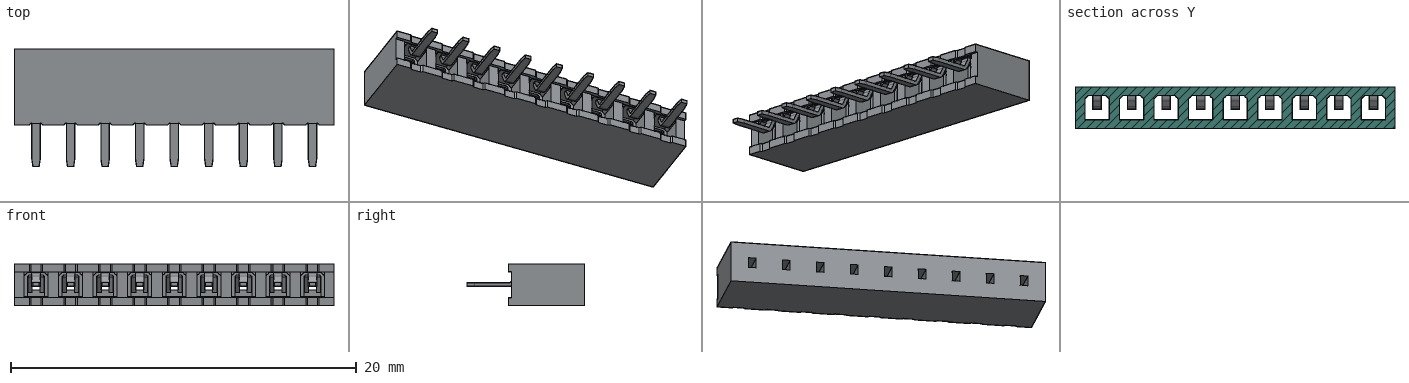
import cadquery as cq
import math


length = 18.5
height = 2.4
overall_depth = 6.8
body_depth = 4.4
rail_height = 0.46
rail_depth = 0.17
pin_count = 9
pitch = 2.0

notch_width = 0.78
notch_depth = 0.1

mouth_height = height - 2 * rail_height
mouth_depth = 0.05
pocket_width = 1.39
pocket_height = 1.39
pocket_depth = 1.11
pocket_chamfer = 0.18
recess_width = 0.98
recess_height = 1.25
recess_depth = 0.18
recess_chamfer = 0.1

slot_width = 0.45
slot_height = 0.6
wing_span = 0.92
wing_height = 0.89
wing_angle = 70.0

pin_width = 0.5
pin_thickness = 0.22
pin_middle_z = 0.02
tip_width = 0.37
tip_length = 0.45
bend_clearance = 0.1
bend_slope = 61.0
lower_bend_radius = 0.18
upper_bend_radius = 0.45
slope_length = 0.39
roof_overlap = 0.18

pocket_front = rail_depth + mouth_depth
recess_front = pocket_front + pocket_depth
wing_front = recess_front + recess_depth
wing_depth = (wing_span - slot_width) / 2 * math.tan(math.radians(wing_angle))
pin_tip_y = body_depth - overall_depth
pin_bend_y = rail_depth - bend_clearance


def block(width, y_start, y_end, z_bottom, z_top):
    """Box centred on X = 0 between the given Y and Z limits."""
    size_y = y_end - y_start
    size_z = z_top - z_bottom
    box = cq.Workplane("XY").box(width, size_y, size_z, centered=(True, False, False))
    return box.translate((0, y_start, z_bottom))


def housing_blank():
    body = block(length, 0, body_depth, -height / 2, height / 2)
    return body.cut(block(length, 0, rail_depth, -mouth_height / 2, mouth_height / 2))


def rail_notch():
    """Shallow notch across both rails, narrowing by its own depth on each side."""
    half_mouth = notch_width / 2
    half_floor = half_mouth - notch_depth
    outline = [
        (-half_mouth, 0),
        (half_mouth, 0),
        (half_floor, notch_depth),
        (-half_floor, notch_depth),
    ]
    return cq.Workplane("XY").polyline(outline).close().extrude(height / 2, both=True)


def pocket():
    """Plain mouth, then a pocket and a recess with chamfered upper corners."""
    mouth = block(pocket_width, rail_depth, pocket_front, -mouth_height / 2, mouth_height / 2)
    floor_z = -pocket_height / 2
    outer = block(pocket_width, pocket_front, recess_front, floor_z, floor_z + pocket_height)
    outer = outer.edges("|Y and >Z").chamfer(pocket_chamfer)
    inner = block(recess_width, recess_front, wing_front, floor_z, floor_z + recess_height)
    inner = inner.edges("|Y and >Z").chamfer(recess_chamfer)
    return mouth.union(outer).union(inner)


def mating_slot():
    """Slot through to the +Y face, with a tapered wing on each side at its inner end."""
    slot = block(slot_width, wing_front, body_depth, -slot_height / 2, slot_height / 2)
    for side in (-1, 1):
        outline = [
            (side * slot_width / 2, wing_front),
            (side * wing_span / 2, wing_front),
            (side * slot_width / 2, wing_front + wing_depth),
        ]
        wing = cq.Workplane("XY").polyline(outline).close().extrude(wing_height / 2, both=True)
        slot = slot.union(wing)
    return slot


def along(point, angle, distance):
    """Point reached from a (Y, Z) point by moving in a direction given in degrees."""
    direction = math.radians(angle)
    return (point[0] + distance * math.cos(direction), point[1] + distance * math.sin(direction))


def bend_points(start, start_angle, end_angle, radius):
    """Middle and end of an upward bend that starts at a (Y, Z) point."""
    centre = along(start, start_angle + 90, radius)
    middle = along(centre, (start_angle + end_angle) / 2 - 90, radius)
    end = along(centre, end_angle - 90, radius)
    return middle, end


def contact_pin():
    tip = (pin_tip_y, pin_middle_z)
    lower_start = (pin_bend_y, pin_middle_z)
    lower_middle, lower_end = bend_points(lower_start, 0, bend_slope, lower_bend_radius)
    upper_start = along(lower_end, bend_slope, slope_length)
    upper_middle, upper_end = bend_points(upper_start, bend_slope, 90, upper_bend_radius)
    path = (
        cq.Workplane("YZ")
        .moveTo(*tip)
        .lineTo(*lower_start)
        .threePointArc(lower_middle, lower_end)
        .lineTo(*upper_start)
        .threePointArc(upper_middle, upper_end)
        .lineTo(upper_end[0], mouth_height / 2 + roof_overlap)
    )
    section = cq.Workplane("XZ", origin=(0, pin_tip_y, pin_middle_z)).rect(pin_width, pin_thickness)
    strip = section.sweep(path)
    for side in (-1, 1):
        corner = [
            (side * pin_width / 2, pin_tip_y),
            (side * pin_width / 2, pin_tip_y + tip_length),
            (side * tip_width / 2, pin_tip_y),
        ]
        strip = strip.cut(cq.Workplane("XY").polyline(corner).close().extrude(height / 2, both=True))
    return strip


opening = rail_notch().union(pocket()).union(mating_slot())
pin = contact_pin()

result = housing_blank()
for index in range(pin_count):
    position = ((index - (pin_count - 1) / 2) * pitch, 0, 0)
    result = result.cut(opening.translate(position)).union(pin.translate(position))